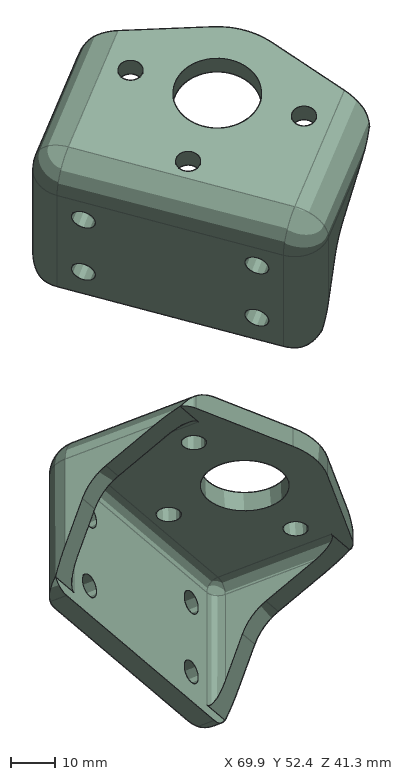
import cadquery as cq
import math

width = 69.9
depth = 52.4
height = 41.3
wall = 5.0
outer_radius = 8.05
corner_radius = 5.0

nose_radius = 19.1
nose_taper = 21.5
bore_diameter = 20.0
bore_y = depth - nose_radius

screw_diameter = 5.65
screw_offset = 20.6
front_hole_depths = (14.3, 33.35)

gusset_reach = 38.8
gusset_vertex_y = 14.6
gusset_vertex_z = -16.1
gusset_radius = 12.6


def rounded_shell():
    """Corner shell: top, front and two side walls, open at the back and bottom."""
    block = cq.Workplane("XY").box(width, depth, height, centered=(True, False, False))
    block = block.translate((0, 0, -height))
    block = block.edges("(|Z and <Y) or (|X and <Y and >Z) or (|Y and >Z)").fillet(outer_radius)
    return block.faces(">Y or <Z").shell(-wall)


def top_outline():
    """Prism with the outline of the top plate."""
    taper = math.radians(nose_taper)
    tangent_x = nose_radius * math.sin(taper)
    tangent_y = bore_y + nose_radius * math.cos(taper)
    shoulder_y = tangent_y - (width / 2 - tangent_x) * math.tan(taper)
    prism = (
        cq.Workplane("XY")
        .moveTo(-width / 2, 0)
        .lineTo(width / 2, 0)
        .lineTo(width / 2, shoulder_y)
        .lineTo(tangent_x, tangent_y)
        .threePointArc((0, depth), (-tangent_x, tangent_y))
        .lineTo(-width / 2, shoulder_y)
        .close()
        .extrude(-height)
    )
    for side in (-1, 1):
        shoulder = cq.selectors.NearestToPointSelector((side * width / 2, shoulder_y, -height / 2))
        prism = prism.edges("|Z").edges(shoulder).fillet(corner_radius)
    return prism


def front_outline():
    """Prism with the outline of the front plate, rounded at its lower corners."""
    prism = cq.Workplane("XY").box(width, depth, height, centered=(True, False, False))
    return prism.translate((0, 0, -height)).edges("|Y and <Z").fillet(corner_radius)


def side_outline():
    """Prism with the L-shaped side profile, its gusset edge rounded at its vertex."""
    prism = (
        cq.Workplane("YZ")
        .polyline([
            (0, 0),
            (depth, 0),
            (depth, -wall),
            (gusset_reach, -wall),
            (gusset_vertex_y, gusset_vertex_z),
            (wall, -gusset_reach),
            (wall, -height),
            (0, -height),
        ])
        .close()
        .extrude(width / 2, both=True)
    )
    vertex_edge = cq.selectors.NearestToPointSelector((0, gusset_vertex_y, gusset_vertex_z))
    return prism.edges("|X").edges(vertex_edge).fillet(gusset_radius)


def vertical_hole(x, y, diameter):
    return cq.Workplane("XY").center(x, y).circle(diameter / 2).extrude(-height)


def front_hole(x, z):
    return cq.Workplane("XZ").center(x, z).circle(screw_diameter / 2).extrude(-depth)


result = rounded_shell()
for outline in (top_outline(), front_outline(), side_outline()):
    result = result.intersect(outline)

result = result.cut(vertical_hole(0, bore_y, bore_diameter))
for x, y in ((-screw_offset, bore_y), (screw_offset, bore_y), (0, bore_y - screw_offset)):
    result = result.cut(vertical_hole(x, y, screw_diameter))

for x in (-screw_offset, screw_offset):
    for hole_depth in front_hole_depths:
        result = result.cut(front_hole(x, -hole_depth))